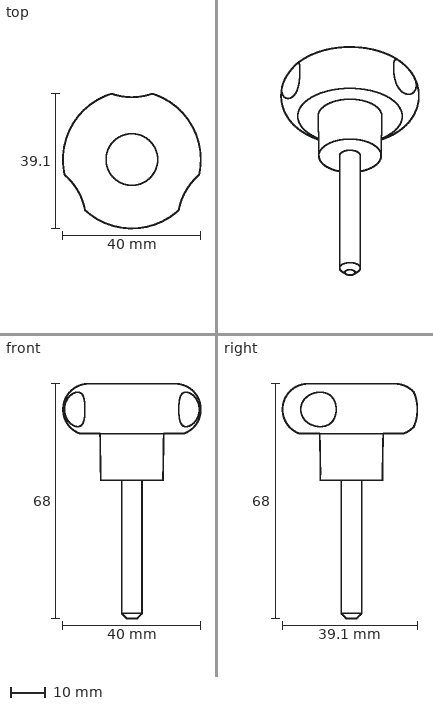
import cadquery as cq
import math

total_height = 68.0

knob_radius = 20.0
ring_tube_radius = 7.5
knob_height = 14.5
dish_floor_radius = 7.5

grip_count = 3
grip_first_angle = 90.0
grip_depth = 1.9
grip_mouth_half_width = 5.9

hub_length = 13.5
hub_top_radius = 9.25
hub_bottom_radius = 9.05

pin_diameter = 6.0
pin_chamfer = 1.5

ring_radius = knob_radius - ring_tube_radius
ring_z = total_height - ring_tube_radius
knob_bottom_z = total_height - knob_height
hub_bottom_z = knob_bottom_z - hub_length


def tube_half_height(radius):
    """Height of the ring's round section above its middle, at a distance from the axis."""
    return math.sqrt(ring_tube_radius**2 - (radius - ring_radius) ** 2)


def knob():
    """Ring-shaped head with a flat underside and a dished top with a flat floor."""
    dish_floor_z = ring_z + tube_half_height(dish_floor_radius)
    underside_drop = ring_z - knob_bottom_z
    underside_radius = ring_radius + math.sqrt(ring_tube_radius**2 - underside_drop**2)
    profile = (
        cq.Workplane("XZ")
        .moveTo(0, knob_bottom_z)
        .lineTo(underside_radius, knob_bottom_z)
        .threePointArc((ring_radius, total_height), (dish_floor_radius, dish_floor_z))
        .lineTo(0, dish_floor_z)
        .close()
    )
    return profile.revolve(360, (0, 0), (0, 1))


def grip_cutters():
    """Upright cylinders that scoop shallow finger grips out of the rim."""
    grip_floor = knob_radius - grip_depth
    mouth_distance = math.sqrt(knob_radius**2 - grip_mouth_half_width**2)
    sagitta = mouth_distance - grip_floor
    grip_radius = (grip_mouth_half_width**2 + sagitta**2) / (2 * sagitta)
    return (
        cq.Workplane("XY")
        .workplane(offset=knob_bottom_z)
        .polarArray(grip_floor + grip_radius, grip_first_angle, 360, grip_count)
        .circle(grip_radius)
        .extrude(knob_height)
    )


def hub():
    """Slightly tapered collar under the knob."""
    return (
        cq.Workplane("XY")
        .workplane(offset=hub_bottom_z)
        .circle(hub_bottom_radius)
        .workplane(offset=hub_length)
        .circle(hub_top_radius)
        .loft()
    )


def pin():
    """Straight pin with a chamfered tip."""
    return (
        cq.Workplane("XY")
        .circle(pin_diameter / 2)
        .extrude(hub_bottom_z)
        .faces("<Z")
        .chamfer(pin_chamfer)
    )


result = knob().cut(grip_cutters()).union(hub()).union(pin())